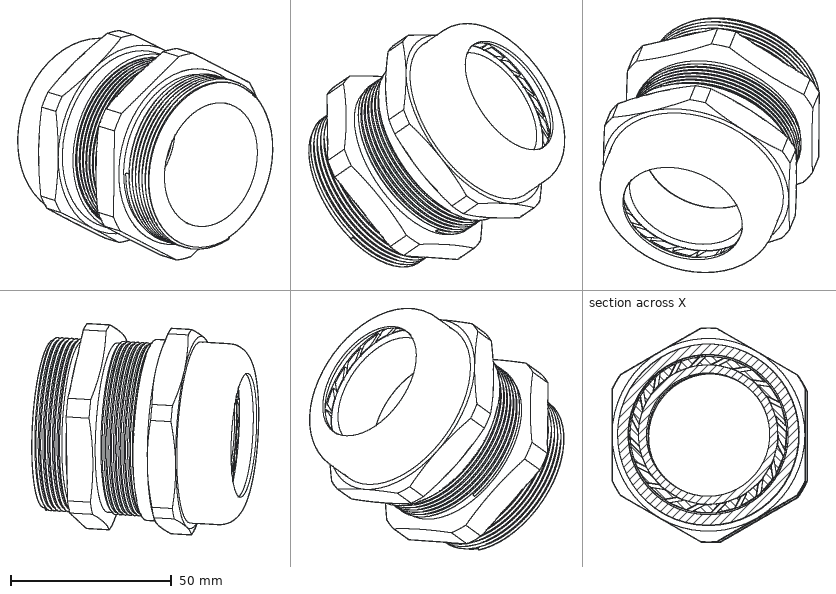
import cadquery as cq
import math


GLAND_LENGTH = 61.9
DIP_ANGLE = 0.85
SWING_ANGLE = 1.3

CAP_DIAMETER = 56.5
CAP_END = 29.25
DOME_RADIUS = 6.35
CAP_MOUTH_DIAMETER = 38.6
MOUTH_LIP = 1.1
CAP_CAVITY_DIAMETER = 49.7
CAP_THREAD_CLEARANCE = 0.15

HEX_ACROSS_FLATS = 60.0
CAP_HEX_START = 15.35
CAP_HEX_END = 24.4
CAP_HEX_CORNER_DIAMETER = 66.5
CAP_HEX_CHAMFER_RISE = 1.3
BODY_HEX_START = 41.7
BODY_HEX_END = 49.95
BODY_HEX_CORNER_DIAMETER = 66.1
BODY_HEX_CHAMFER_RISE = 1.0

BODY_START = 16.0
NECK_DIAMETER = 52.85
ENTRY_DIAMETER = 52.45
BODY_BORE_DIAMETER = 39.35

THREAD_CREST_DIAMETER = 54.05
THREAD_RIDGE_WIDTH = 1.35
THREAD_ROOT_SINK = 0.2
CAP_THREAD_START = 19.1
CAP_THREAD_TURNS = 14.2
ENTRY_THREAD_START = 52.1
ENTRY_THREAD_TURNS = 6.3
TURNS_BETWEEN_STARTS = 22
THREAD_START_ANGLE = 270
THREAD_PITCH = (ENTRY_THREAD_START - CAP_THREAD_START) / TURNS_BETWEEN_STARTS

SEAL_START = 6.95
SEAL_END = 23.85
SEAL_BORE_DIAMETER = 38.2
SEAL_DIAMETER = 43.55

CAGE_START = 6.75
CAGE_END = 24.25
CAGE_DIAMETER = 48.75
CAGE_SLOT_COUNT = 20
CAGE_SLOT_WIDTH = 1.2
CAGE_SLOT_DEPTH = 8.0
CAGE_SLOT_SPAN = 9.35
CAGE_SLOT_RADIUS = 22.85
CAGE_SLOT_SLANT = 53.0
CAGE_FIRST_SLOT_ANGLE = 9.5

O_RING_SECTION_RADIUS = 0.9


def cylinder(diameter, start, end):
    return cq.Workplane("XY").workplane(offset=start).circle(diameter / 2).extrude(end - start)


def cone(start_diameter, end_diameter, start, end):
    return cq.Workplane(
        cq.Solid.makeCone(start_diameter / 2, end_diameter / 2, end - start, pnt=cq.Vector(0, 0, start))
    )


def chamfered_hexagon(corner_diameter, start, end, chamfer_rise, chamfer_far_side):
    """Hexagon with turned corners, chamfered where its near (and far) face meets the corners."""
    hexagon = (
        cq.Workplane("XY")
        .workplane(offset=start)
        .polygon(6, HEX_ACROSS_FLATS / math.cos(math.pi / 6))
        .extrude(end - start)
    )
    face_radius = HEX_ACROSS_FLATS / 2
    corner_radius = corner_diameter / 2
    outline = cq.Workplane("XZ").moveTo(0, start).lineTo(face_radius, start)
    outline = outline.lineTo(corner_radius, start + chamfer_rise)
    if chamfer_far_side:
        outline = outline.lineTo(corner_radius, end - chamfer_rise).lineTo(face_radius, end)
    else:
        outline = outline.lineTo(corner_radius, end)
    turned_blank = outline.lineTo(0, end).close().revolve(360, (0, 0, 0), (0, 1, 0))
    return hexagon.intersect(turned_blank)


def thread_ridge(root_diameter, start, turns):
    """Right-handed triangular ridge rooted just below the surface of its tube."""
    root_radius = root_diameter / 2 - THREAD_ROOT_SINK
    helix = cq.Wire.makeHelix(THREAD_PITCH, turns * THREAD_PITCH, root_radius)
    half_width = THREAD_RIDGE_WIDTH / 2
    ridge = (
        cq.Workplane("XZ")
        .moveTo(root_radius, -half_width)
        .lineTo(THREAD_CREST_DIAMETER / 2, 0)
        .lineTo(root_radius, half_width)
        .close()
        .sweep(cq.Workplane(helix), isFrenet=True)
    )
    return ridge.rotate((0, 0, 0), (0, 0, 1), THREAD_START_ANGLE).translate((0, 0, start))


def o_ring_torus():
    centre_radius = ENTRY_DIAMETER / 2 + O_RING_SECTION_RADIUS
    return cq.Workplane(
        cq.Solid.makeTorus(centre_radius, O_RING_SECTION_RADIUS, cq.Vector(0, 0, BODY_HEX_END))
    )


def make_cap_nut():
    shell = cylinder(CAP_DIAMETER, 0, CAP_END).faces("<Z").edges().fillet(DOME_RADIUS)
    hexagon = chamfered_hexagon(
        CAP_HEX_CORNER_DIAMETER, CAP_HEX_START, CAP_HEX_END, CAP_HEX_CHAMFER_RISE, chamfer_far_side=True
    )
    shell = shell.union(hexagon)
    mouth = cylinder(CAP_MOUTH_DIAMETER, 0, MOUTH_LIP)
    cone_end = MOUTH_LIP + (CAP_CAVITY_DIAMETER - CAP_MOUTH_DIAMETER) / 2
    clamping_cone = cone(CAP_MOUTH_DIAMETER, CAP_CAVITY_DIAMETER, MOUTH_LIP, cone_end)
    cavity = cylinder(CAP_CAVITY_DIAMETER, cone_end, BODY_START)
    thread_bore = cylinder(THREAD_CREST_DIAMETER + 2 * CAP_THREAD_CLEARANCE, BODY_START, CAP_END)
    return shell.cut(mouth).cut(clamping_cone).cut(cavity).cut(thread_bore)


def make_body():
    hexagon = chamfered_hexagon(
        BODY_HEX_CORNER_DIAMETER, BODY_HEX_START, BODY_HEX_END, BODY_HEX_CHAMFER_RISE, chamfer_far_side=False
    )
    tube = cylinder(NECK_DIAMETER, BODY_START, BODY_HEX_START).union(hexagon)
    tube = tube.union(cylinder(ENTRY_DIAMETER, BODY_HEX_END, GLAND_LENGTH))
    tube = tube.cut(cylinder(BODY_BORE_DIAMETER, BODY_START, GLAND_LENGTH))
    tube = tube.cut(cylinder(CAGE_DIAMETER, BODY_START, CAGE_END))
    tube = tube.cut(o_ring_torus())
    cap_thread = thread_ridge(NECK_DIAMETER, CAP_THREAD_START, CAP_THREAD_TURNS)
    entry_thread = thread_ridge(ENTRY_DIAMETER, ENTRY_THREAD_START, ENTRY_THREAD_TURNS)
    beyond_end = cylinder(CAP_DIAMETER, GLAND_LENGTH, GLAND_LENGTH + THREAD_PITCH)
    return tube.union(cap_thread).union(entry_thread.cut(beyond_end))


def make_seal():
    return cylinder(SEAL_DIAMETER, SEAL_START, SEAL_END).cut(
        cylinder(SEAL_BORE_DIAMETER, SEAL_START, SEAL_END)
    )


def cage_slots():
    """Slanted cutters, one between each two fingers of the cage."""
    cutter = (
        cq.Workplane("XY")
        .box(CAGE_SLOT_SPAN, CAGE_SLOT_WIDTH, CAGE_SLOT_DEPTH, centered=(True, True, False))
        .rotate((0, 0, 0), (0, 0, 1), CAGE_SLOT_SLANT)
        .translate((CAGE_SLOT_RADIUS, 0, CAGE_START))
    )
    slot_step = 360 / CAGE_SLOT_COUNT
    return [
        cutter.rotate((0, 0, 0), (0, 0, 1), CAGE_FIRST_SLOT_ANGLE + index * slot_step)
        for index in range(CAGE_SLOT_COUNT)
    ]


def make_cage():
    cage = cylinder(CAGE_DIAMETER, CAGE_START, CAGE_END)
    cage = cage.cut(cylinder(SEAL_DIAMETER, CAGE_START, CAGE_END))
    for slot in cage_slots():
        cage = cage.cut(slot)
    return cage


def placed(solid):
    """Lay a solid along X, centred, and turn it to the pose of the gland."""
    centred = solid.translate((0, 0, -GLAND_LENGTH / 2))
    lying = centred.rotate((0, 0, 0), (0, 1, 0), 90 + DIP_ANGLE)
    return lying.rotate((0, 0, 0), (0, 0, 1), -SWING_ANGLE)


cap_nut = placed(make_cap_nut())
body = placed(make_body())
seal = placed(make_seal())
cage = placed(make_cage())
o_ring = placed(o_ring_torus())

result = cq.Compound.makeCompound([cap_nut.val(), body.val(), seal.val(), cage.val(), o_ring.val()])